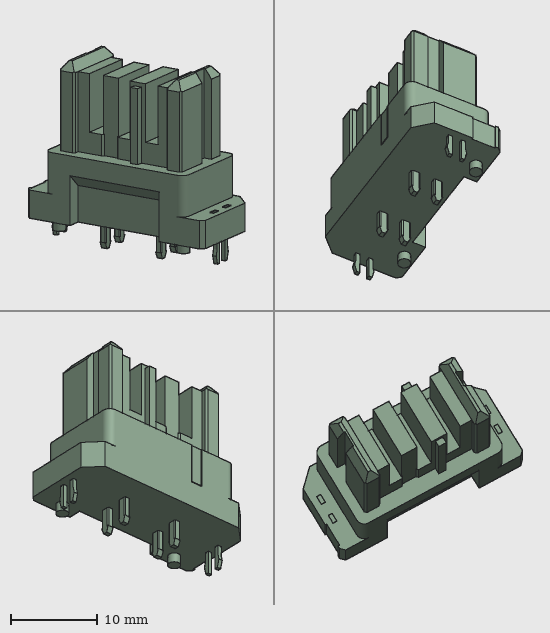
import cadquery as cq
import math

SIDES = (-1, 1)

LENGTH = 24.37
DEPTH = 11.0
FLANGE_HEIGHT = 3.4
REAR_CHAMFER = 2.0
FRONT_CHAMFER = 0.5
BODY_LENGTH = 19.25
BODY_TOP = 8.4
BODY_CORNER_RADIUS = 1.0

NOTCH_DEPTH = 0.2
NOTCH_WIDTH = 3.0
NOTCH_CENTER_Y = -3.12

MARK_DEPTH = 0.1
MARK_WIDTH = 1.5
MARK_CENTER_X = -3.8

RECESS_WIDTH = 12.23
RECESS_DEPTH = 1.7
RECESS_FRONT_HEIGHT = 6.02
RECESS_BACK_HEIGHT = 4.44

PILLAR_WIDTH = 2.1
PILLAR_DEPTH = 8.6
PILLAR_CENTER_X = 7.34
PILLAR_CHAMFER = 0.25
PILLAR_TOP = 19.2
CAP_HEIGHT = 1.15
CAP_INSET = 0.85
KEYWAY_WIDTH = 2.0
KEYWAY_DEPTH = 1.0
KEYWAY_CENTER_Y = 1.2

SHOULDER = PILLAR_TOP - CAP_HEIGHT
WEB_TOP = 11.0
WEB_DEPTH = 7.05
DIVIDER_WIDTH = 2.1
SLOT_WIDTH = 1.75
DIVIDER_CENTER_X = (SLOT_WIDTH + DIVIDER_WIDTH) / 2
GROOVE_DEPTH = 0.25
GROOVE_FLOOR_WIDTH = 1.75
RIB_WIDTH = 1.0
RIB_TOP = 17.57

PEG_DIAMETER = 1.5
PEG_LENGTH = 1.22
PEG_CENTER_X = 8.53
PEG_CENTER_Y = -4.02

CONTACT_CENTER_X = 3.83
CONTACT_CENTER_Y = 1.49
CONTACT_WIDTH = 0.78
CONTACT_DEPTH = 1.15
CONTACT_CHAMFER_X = 0.1
CONTACT_CHAMFER_Y = 0.17
CONTACT_LENGTH = 3.3
CONTACT_TIP_LENGTH = 0.78
CONTACT_TIP_WIDTH = 0.7
CONTACT_TIP_DEPTH = 0.54

BARB_CENTER_X = 11.05
BARB_THICKNESS = 0.5
BARB_INNER_Y = 0.58
BARB_SHANK_Y = 1.12
BARB_PEAK_Y = 1.3
BARB_TIP_Y = 1.02
BARB_SHANK_END = -1.22
BARB_PEAK_Z = -1.97
BARB_LENGTH = 3.0
PIN_SLOT_LENGTH = 1.1
PIN_SLOT_CENTER_Y = 1.35
PIN_SLOT_DEPTH = 0.07


def block(width, depth, bottom, top, x=0, y=0):
    """Upright box centred on (x, y), spanning bottom to top."""
    box = cq.Workplane("XY").box(width, depth, top - bottom, centered=(True, True, False))
    return box.translate((x, y, bottom))


def make_housing():
    flange = block(LENGTH, DEPTH, 0, FLANGE_HEIGHT)
    flange = flange.edges("|Z and >Y").chamfer(REAR_CHAMFER)
    flange = flange.edges("|Z and <Y").chamfer(FRONT_CHAMFER)
    body = block(BODY_LENGTH, DEPTH, 0, BODY_TOP).edges("|Z").fillet(BODY_CORNER_RADIUS)
    housing = flange.union(body)
    notch_x = -LENGTH / 2 + NOTCH_DEPTH / 2
    housing = housing.cut(block(NOTCH_DEPTH, NOTCH_WIDTH, 0, FLANGE_HEIGHT, notch_x, NOTCH_CENTER_Y))
    mark_y = DEPTH / 2 - MARK_DEPTH / 2
    return housing.cut(block(MARK_WIDTH, MARK_DEPTH, FLANGE_HEIGHT, BODY_TOP, MARK_CENTER_X, mark_y))


def make_front_recess():
    front = -DEPTH / 2
    back = front + RECESS_DEPTH
    profile = [(front, 0), (back, 0), (back, RECESS_BACK_HEIGHT), (front, RECESS_FRONT_HEIGHT)]
    return cq.Workplane("YZ").polyline(profile).close().extrude(RECESS_WIDTH / 2, both=True)


def make_pillar(side):
    x = side * PILLAR_CENTER_X
    pillar = block(PILLAR_WIDTH, PILLAR_DEPTH, BODY_TOP, PILLAR_TOP, x).edges("|Z").chamfer(PILLAR_CHAMFER)
    cap_angle = math.degrees(math.atan2(CAP_INSET, CAP_HEIGHT))
    cap = (
        cq.Workplane("XY", origin=(x, 0, SHOULDER))
        .rect(PILLAR_WIDTH, PILLAR_DEPTH)
        .extrude(CAP_HEIGHT, taper=cap_angle)
    )
    pillar = pillar.intersect(block(PILLAR_WIDTH, PILLAR_DEPTH, BODY_TOP, SHOULDER, x).union(cap))
    keyway_x = x + side * (PILLAR_WIDTH - KEYWAY_DEPTH) / 2
    return pillar.cut(block(KEYWAY_DEPTH, KEYWAY_WIDTH, BODY_TOP, PILLAR_TOP, keyway_x, KEYWAY_CENTER_Y))


def make_dividers():
    web = block(2 * PILLAR_CENTER_X, WEB_DEPTH, BODY_TOP, WEB_TOP)

    groove_half_floor = GROOVE_FLOOR_WIDTH / 2
    groove_half_mouth = groove_half_floor + GROOVE_DEPTH
    for side in SIDES:
        mouth_y = side * WEB_DEPTH / 2
        floor_y = mouth_y - side * GROOVE_DEPTH
        groove = (
            cq.Workplane("XY", origin=(-DIVIDER_CENTER_X, 0, BODY_TOP))
            .polyline([
                (-groove_half_mouth, mouth_y),
                (-groove_half_floor, floor_y),
                (groove_half_floor, floor_y),
                (groove_half_mouth, mouth_y),
            ])
            .close()
            .extrude(WEB_TOP - BODY_TOP)
        )
        web = web.cut(groove)

    short_depth = WEB_DEPTH - 2 * GROOVE_DEPTH
    dividers = web.union(block(DIVIDER_WIDTH, short_depth, BODY_TOP, SHOULDER, -DIVIDER_CENTER_X))
    dividers = dividers.union(block(DIVIDER_WIDTH, WEB_DEPTH, BODY_TOP, SHOULDER, DIVIDER_CENTER_X))
    dividers = dividers.union(block(RIB_WIDTH, PILLAR_DEPTH, BODY_TOP, RIB_TOP, DIVIDER_CENTER_X))

    end_inner_x = DIVIDER_CENTER_X + DIVIDER_WIDTH / 2 + SLOT_WIDTH
    end_width = PILLAR_CENTER_X - end_inner_x
    for side in SIDES:
        end_x = side * (end_inner_x + end_width / 2)
        dividers = dividers.union(block(end_width, WEB_DEPTH, BODY_TOP, SHOULDER, end_x))
    return dividers


def make_peg(side):
    peg = cq.Workplane("XY", origin=(side * PEG_CENTER_X, PEG_CENTER_Y, 0))
    return peg.circle(PEG_DIAMETER / 2).extrude(-PEG_LENGTH)


def make_contact(side_x, side_y):
    x = side_x * CONTACT_CENTER_X
    y = side_y * CONTACT_CENTER_Y
    tip_start = -CONTACT_LENGTH + CONTACT_TIP_LENGTH
    half_width = CONTACT_WIDTH / 2
    half_depth = CONTACT_DEPTH / 2
    flat_x = half_width - CONTACT_CHAMFER_X
    flat_y = half_depth - CONTACT_CHAMFER_Y
    shank = (
        cq.Workplane("XY", origin=(x, y, tip_start))
        .polyline([
            (flat_x, -half_depth),
            (half_width, -flat_y),
            (half_width, flat_y),
            (flat_x, half_depth),
            (-flat_x, half_depth),
            (-half_width, flat_y),
            (-half_width, -flat_y),
            (-flat_x, -half_depth),
        ])
        .close()
        .extrude(-tip_start)
    )
    tip = (
        cq.Workplane("XY", origin=(x, y, tip_start))
        .rect(CONTACT_WIDTH, CONTACT_DEPTH)
        .workplane(offset=-CONTACT_TIP_LENGTH)
        .rect(CONTACT_TIP_WIDTH, CONTACT_TIP_DEPTH)
        .loft(combine=True, ruled=True)
    )
    return shank.union(tip)


def make_barbed_pin(side_x, side_y):
    profile = [
        (BARB_INNER_Y, 0),
        (BARB_SHANK_Y, 0),
        (BARB_SHANK_Y, BARB_SHANK_END),
        (BARB_PEAK_Y, BARB_PEAK_Z),
        (BARB_TIP_Y, -BARB_LENGTH),
        (BARB_INNER_Y, -BARB_LENGTH),
    ]
    pin = cq.Workplane("YZ", origin=(side_x * BARB_CENTER_X, 0, 0))
    pin = pin.polyline([(side_y * y, z) for y, z in profile]).close()
    return pin.extrude(BARB_THICKNESS / 2, both=True)


def make_pin_slot(side_x, side_y):
    return block(
        BARB_THICKNESS,
        PIN_SLOT_LENGTH,
        FLANGE_HEIGHT - PIN_SLOT_DEPTH,
        FLANGE_HEIGHT,
        side_x * BARB_CENTER_X,
        side_y * PIN_SLOT_CENTER_Y,
    )


result = make_housing().cut(make_front_recess()).union(make_dividers())
for side_x in SIDES:
    result = result.union(make_pillar(side_x))
    result = result.union(make_peg(side_x))
    for side_y in SIDES:
        result = result.union(make_contact(side_x, side_y))
        result = result.union(make_barbed_pin(side_x, side_y))
        result = result.cut(make_pin_slot(side_x, side_y))